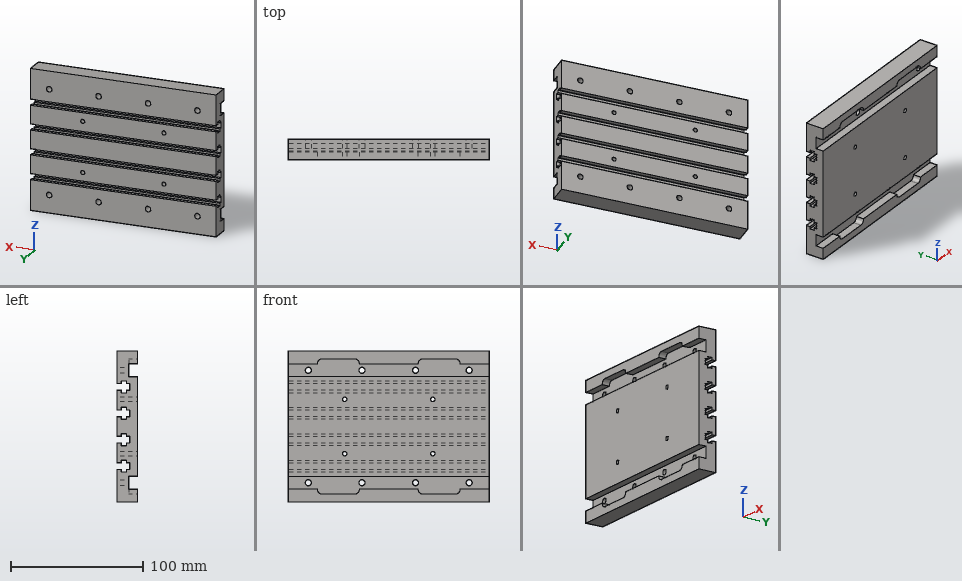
import cadquery as cq

length = 152.4
thickness = 15.5
height = 114.3
front_y = -thickness / 2
back_y = thickness / 2

groove_depth = 6.5
groove_width = 9.8
edge_lip = 9.8
groove_center_z = height / 2 - edge_lip - groove_width / 2

relief_length = 31.7
relief_reach = 3.8
relief_corner_radius = 3.7
relief_spacing = length / 2

slot_count = 4
slot_pitch = 20.0
slot_depth = 9.6
slot_mouth_width = 4.9
slot_wing_width = 8.8
slot_wing_start = 3.4
slot_wing_thickness = 3.8

groove_hole_diameter = 4.4
groove_hole_count = 4
groove_hole_pitch = 40.5
center_hole_diameter = 3.2
center_hole_spacing_x = 66.6
center_hole_spacing_z = 41.1


def block(size_x, size_z, near_y, far_y, center_z):
    """Box centred in X that spans near_y to far_y in depth."""
    depth = far_y - near_y
    return cq.Workplane("XY").box(size_x, depth, size_z).translate((0, near_y + depth / 2, center_z))


def groove():
    """Upper front groove together with its two round-cornered reliefs."""
    bottom_y = front_y + groove_depth
    cutter = block(length, groove_width, front_y, bottom_y, groove_center_z)
    relief_height = groove_width + relief_reach
    relief = (
        block(relief_length, relief_height, front_y, bottom_y, groove_center_z + relief_reach / 2)
        .edges("|Y and >Z")
        .fillet(relief_corner_radius)
    )
    for side in (-1, 1):
        cutter = cutter.union(relief.translate((side * relief_spacing / 2, 0, 0)))
    return cutter


def cross_slot(center_z):
    """Straight slot with a wider band partway down, open at both ends."""
    stem = block(length, slot_mouth_width, back_y - slot_depth, back_y, center_z)
    wing_outer_y = back_y - slot_wing_start
    wing_inner_y = wing_outer_y - slot_wing_thickness
    return stem.union(block(length, slot_wing_width, wing_inner_y, wing_outer_y, center_z))


def hole_grid(diameter, count_x, pitch_x, spacing_z):
    """Two rows of round cutters along Y through the whole thickness."""
    return (
        cq.Workplane("XZ", origin=(0, back_y, 0))
        .rarray(pitch_x, spacing_z, count_x, 2)
        .circle(diameter / 2)
        .extrude(thickness)
    )


plate = cq.Workplane("XY").box(length, thickness, height)

upper_groove = groove()
plate = plate.cut(upper_groove).cut(upper_groove.mirror("XY"))

for index in range(slot_count):
    plate = plate.cut(cross_slot((index - (slot_count - 1) / 2) * slot_pitch))

plate = plate.cut(hole_grid(groove_hole_diameter, groove_hole_count, groove_hole_pitch, 2 * groove_center_z))
plate = plate.cut(hole_grid(center_hole_diameter, 2, center_hole_spacing_x, center_hole_spacing_z))

result = plate